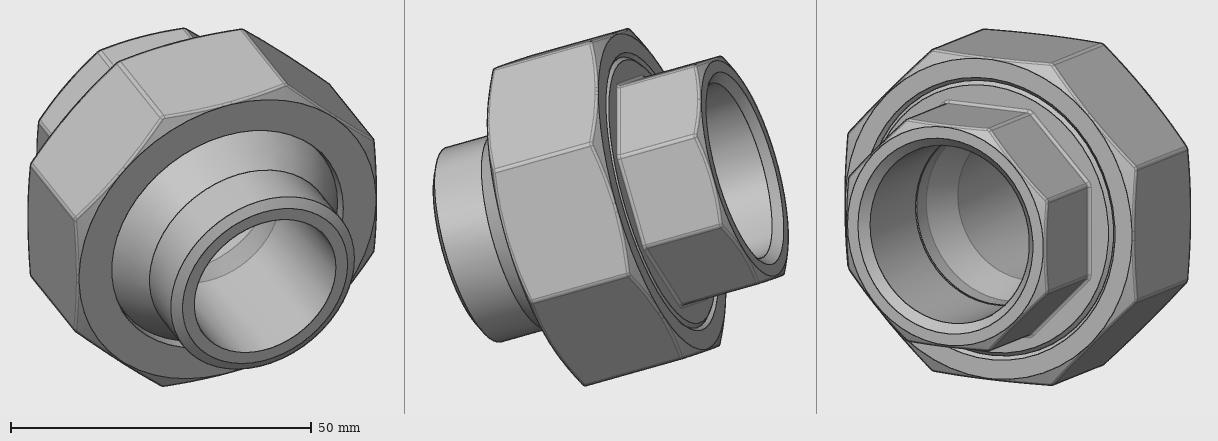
import cadquery as cq
import math

total_length = 50.0
nut_start = 14.95
nut_length = 20.1
nut_end = nut_start + nut_length

octagon_sides = 8
half_corner_angle = 180 / octagon_sides
nut_flats = 55.05
body_flats = 38
corner_radius = 1.0

nut_face_diameter = 54.5
body_face_diameter = 37.2
corner_chamfer_angle = 25
crest_radius = 0.5
root_radius = 0.5

joint_diameter = 46.8
nut_mouth_diameter = 48.0
body_rim_diameter = 45.5

thread_diameter = 30.25
thread_mouth_diameter = 33.25

socket_start = 17.2
socket_diameter = 34.0
body_end = 25.0

collar_diameter = 45.85
collar_length = 4.0
shoulder_x = body_end + collar_length
neck_diameter = 42.0
nut_shoulder_bore = 42.5

cone_end = 40.5
pipe_diameter = 33.7
pipe_end_diameter = 30.25
cone_angle = 30
bevel_angle = 30
cone_length = (neck_diameter - pipe_diameter) / 2 / math.tan(math.radians(cone_angle))
bevel_length = (pipe_diameter - pipe_end_diameter) / 2 * math.tan(math.radians(bevel_angle))

lead_in_depth = 0.35
lead_in_length = 0.45
taper_start = 20.9
taper_length = 7.0
pipe_bore = 26.0


def revolve_about_axis(points):
    """Solid of revolution about X from (x, diameter) points."""
    outline = [(x, diameter / 2) for x, diameter in points]
    return cq.Workplane("XY").polyline(outline).close().revolve(360, (0, 0, 0), (1, 0, 0))


def octagon_bar(start, end, flats):
    """Octagonal bar along X with flats facing Y and Z and rounded corners."""
    across_corners = flats / math.cos(math.radians(half_corner_angle))
    return (
        cq.Workplane("YZ", origin=(start, 0, 0))
        .transformed(rotate=(0, 0, half_corner_angle))
        .polygon(octagon_sides, across_corners)
        .extrude(end - start)
        .edges("|X")
        .fillet(corner_radius)
    )


def chamfered_octagon(start, end, flats, face_diameter, both_ends):
    """Octagonal bar with its corners turned down at the start, or at both ends."""
    outer_diameter = flats / math.cos(math.radians(half_corner_angle))
    drop = (outer_diameter - face_diameter) / 2 * math.tan(math.radians(corner_chamfer_angle))
    points = [(start, 0), (start, face_diameter), (start + drop, outer_diameter)]
    if both_ends:
        points += [(end - drop, outer_diameter), (end, face_diameter)]
    else:
        points += [(end, outer_diameter)]
    points += [(end, 0)]
    bar = octagon_bar(start, end, flats).intersect(revolve_about_axis(points))
    return bar.faces("%CONE").edges("not %CIRCLE").fillet(crest_radius)


def make_nut():
    """Octagonal nut: chamfered thread at the body end, inner shoulder at the tailpiece end."""
    blank = chamfered_octagon(nut_start, nut_end, nut_flats, nut_face_diameter, both_ends=True)
    mouth_depth = (nut_mouth_diameter - joint_diameter) / 2
    bore = revolve_about_axis([
        (nut_start, 0),
        (nut_start, nut_mouth_diameter),
        (nut_start + mouth_depth, joint_diameter),
        (shoulder_x, joint_diameter),
        (shoulder_x, nut_shoulder_bore),
        (nut_end, nut_shoulder_bore),
        (nut_end, 0),
    ])
    return blank.cut(bore)


def make_threaded_body():
    """Octagonal grip and round flange with a threaded bore that widens to a socket."""
    grip = chamfered_octagon(0, nut_start, body_flats, body_face_diameter, both_ends=False)
    rim_depth = (joint_diameter - body_rim_diameter) / 2
    flange = revolve_about_axis([
        (nut_start, 0),
        (nut_start, body_rim_diameter),
        (nut_start + rim_depth, joint_diameter),
        (body_end, joint_diameter),
        (body_end, 0),
    ])
    root_edge = cq.selectors.NearestToPointSelector((nut_start, 0, body_flats / 2))
    body = grip.union(flange).edges(root_edge).fillet(root_radius)
    mouth_depth = (thread_mouth_diameter - thread_diameter) / 2
    bore = revolve_about_axis([
        (0, 0),
        (0, thread_mouth_diameter),
        (mouth_depth, thread_diameter),
        (socket_start, thread_diameter),
        (socket_start, socket_diameter),
        (body_end, socket_diameter),
        (body_end, 0),
    ])
    return body.cut(bore)


def make_tailpiece():
    """Nose, clamped collar, cone and pipe end, turned in one piece with the tapered bore."""
    return revolve_about_axis([
        (socket_start, thread_diameter + 2 * lead_in_depth),
        (socket_start, socket_diameter),
        (body_end, socket_diameter),
        (body_end, collar_diameter),
        (shoulder_x, collar_diameter),
        (shoulder_x, neck_diameter),
        (cone_end - cone_length, neck_diameter),
        (cone_end, pipe_diameter),
        (total_length - bevel_length, pipe_diameter),
        (total_length, pipe_end_diameter),
        (total_length, pipe_bore),
        (taper_start + taper_length, pipe_bore),
        (taper_start, thread_diameter),
        (socket_start + lead_in_length, thread_diameter),
    ])


threaded_body = make_threaded_body()
nut = make_nut()
tailpiece = make_tailpiece()
result = cq.Compound.makeCompound([threaded_body.val(), nut.val(), tailpiece.val()])